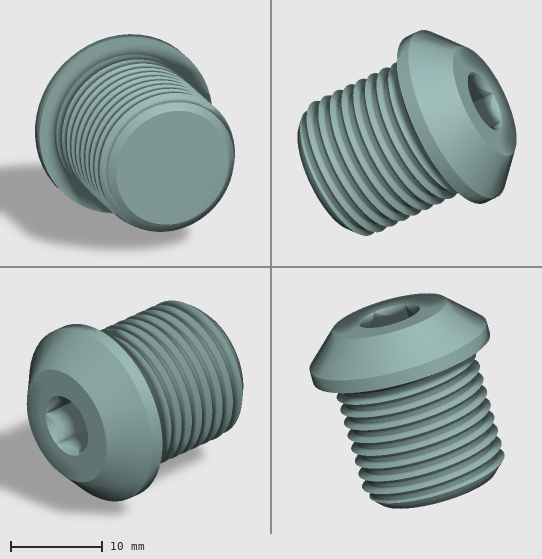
import cadquery as cq
import math

total_length = 20.03

head_radius = 10.02
head_face_radius = 6.5
crown_length = 3.5
rim_end = 5.0
collar_radius = 8.25
collar_end = 5.5

core_radius = 7.23
crest_radius = 8.0
end_radius = 6.5
pitch = 1.5
tooth_base = 0.96
helix_start = 4.0
thread_turns = 12
root_overlap = 0.12

socket_flats = 6.0
socket_depth = 6.0
lead_in_half_angle = 30.0
relief_radius = 2.82
relief_depth = 7.01


def revolve_about_x(points):
    """Solid of revolution from (x, radius) points."""
    return cq.Workplane("XY").polyline(points).close().revolve(360, (0, 0, 0), (1, 0, 0))


def make_head():
    return revolve_about_x([
        (0, 0),
        (0, head_face_radius),
        (crown_length, head_radius),
        (rim_end, head_radius),
        (rim_end, collar_radius),
        (collar_end, collar_radius),
        (collar_end, 0),
    ])


def make_shank():
    """Core with a sharp helical tooth, trimmed by the collar face and the 45 degree end chamfer."""
    root_radius = core_radius - root_overlap
    half_base = tooth_base / 2
    half_root = half_base * (crest_radius - root_radius) / (crest_radius - core_radius)
    helix = cq.Wire.makeHelix(pitch, pitch * thread_turns, root_radius)
    ridge = (
        cq.Workplane("XZ")
        .polyline([(root_radius, -half_root), (crest_radius, 0), (root_radius, half_root)])
        .close()
        .sweep(cq.Workplane(helix), isFrenet=True)
        .rotate((0, 0, 0), (0, 1, 0), 90)
        .translate((helix_start, 0, 0))
    )
    ridge_length = pitch * thread_turns
    core = cq.Workplane("YZ", origin=(helix_start - pitch, 0, 0)).circle(core_radius)
    core = core.extrude(ridge_length + 2 * pitch)
    envelope = revolve_about_x([
        (collar_end, 0),
        (collar_end, head_radius),
        (total_length - (head_radius - end_radius), head_radius),
        (total_length, end_radius),
        (total_length, 0),
    ])
    return core.union(ridge).intersect(envelope)


def make_socket():
    corner_radius = socket_flats / math.sqrt(3)
    hexagon = cq.Workplane("YZ").polygon(6, 2 * corner_radius).extrude(socket_depth)
    relief = cq.Workplane("YZ").circle(relief_radius).extrude(relief_depth)
    lead_in_length = corner_radius / math.tan(math.radians(lead_in_half_angle))
    lead_in = revolve_about_x([(0, 0), (0, corner_radius), (lead_in_length, 0)])
    return hexagon.union(relief).union(lead_in)


result = make_head().union(make_shank()).cut(make_socket())